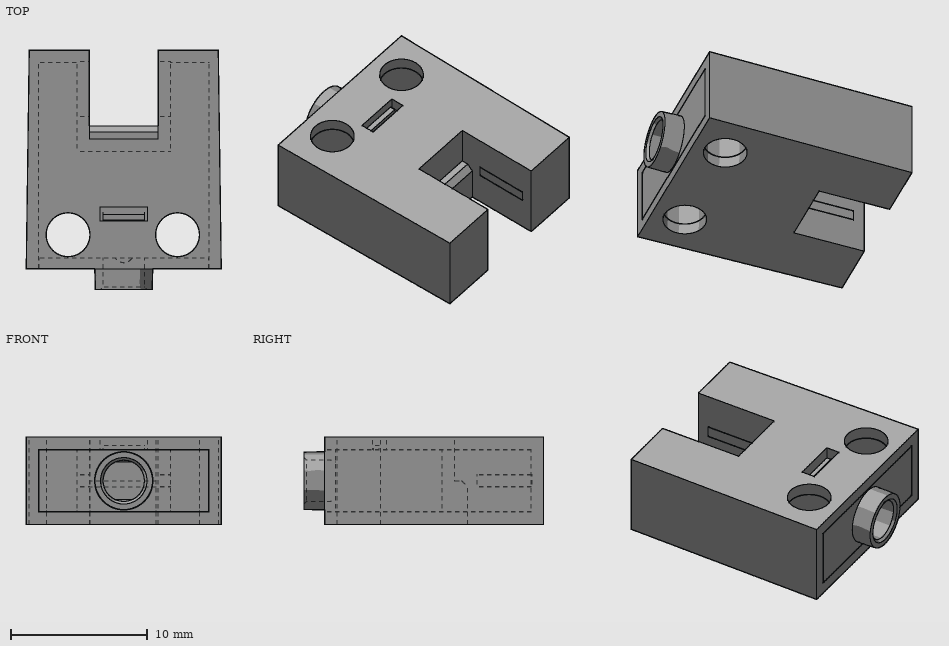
import cadquery as cq

FRONT_WIDTH = 14.26
BACK_WIDTH = 13.82
LENGTH = 16.0
HEIGHT = 6.4
SLOT_WIDTH = 5.0
SLOT_END_Y = 9.5

STEP_DEPTH = 0.95
STEP_TOP_Z = 0.0
STEP_BEVEL = 0.44

WALL = 0.93
CAVITY_WIDTH = 12.46
CAVITY_HEIGHT = HEIGHT - 2 * WALL
CAVITY_END_Y = LENGTH - WALL

SIDE_GAP = 0.05
THICKNESS_GAP = 0.04
INSERT_HEIGHT = CAVITY_HEIGHT - 2 * THICKNESS_GAP

SLIT_HEIGHT = 0.9
SLIT_LENGTH = 4.0
SLIT_END_Y = LENGTH - 0.84

HOLE_DIAMETER = 3.18
HOLE_SPACING = 8.0
HOLE_Y = 2.5
HOLE_OFFSET_X = -0.07

WINDOW_WIDTH = 3.45
WINDOW_LENGTH = 1.03
WINDOW_FRONT_Y = 3.5
BAR_WIDTH = 3.03
BAR_LENGTH = 0.4
BAR_HEIGHT = 0.35
BAR_FRONT_Y = 3.57
RAMP_LENGTH = 0.14
RAMP_HEIGHT = 0.01

COVER_THICKNESS = 0.8
SPOUT_LENGTH = 1.5
SPOUT_BASE_RADIUS = 2.14
SPOUT_TIP_RADIUS = 2.1
BORE_RADIUS = 1.5
BORE_CHAMFER = 0.2
FLAT_HALF_HEIGHT = 1.36
FLAT_LENGTH = 0.35


def block(width, y_start, y_end, z_bottom, z_top):
    """Rectangular block given by its width and its y and z limits."""
    return (
        cq.Workplane("XY")
        .box(width, y_end - y_start, z_top - z_bottom, centered=(True, False, False))
        .translate((0, y_start, z_bottom))
    )


def mounting_holes():
    """Two cylinders through the full thickness."""
    return (
        cq.Workplane("XY", origin=(HOLE_OFFSET_X, HOLE_Y, -HEIGHT / 2))
        .pushPoints([(-HOLE_SPACING / 2, 0), (HOLE_SPACING / 2, 0)])
        .circle(HOLE_DIAMETER / 2)
        .extrude(HEIGHT)
    )


def slits(height):
    """Bar of the given height across the fork, from one arm cavity to the other."""
    span = SLOT_WIDTH + 2 * WALL
    return block(span, SLIT_END_Y - SLIT_LENGTH, SLIT_END_Y, -height / 2, height / 2)


def fork_slot():
    """Open slot between the fork arms, through the full thickness."""
    return block(SLOT_WIDTH, SLOT_END_Y, LENGTH, -HEIGHT / 2, HEIGHT / 2)


def fork_block(height):
    """Fork-shaped block that follows the inside of the housing walls."""
    slot_with_walls = block(
        SLOT_WIDTH + 2 * WALL, SLOT_END_Y - WALL, LENGTH, -HEIGHT / 2, HEIGHT / 2
    )
    full = block(CAVITY_WIDTH, 0, CAVITY_END_Y, -height / 2, height / 2)
    return full.cut(slot_with_walls)


def slot_step():
    """Bevelled step along the closed end of the slot."""
    step_y = SLOT_END_Y + STEP_DEPTH
    return (
        cq.Workplane("YZ", origin=(-SLOT_WIDTH / 2, 0, 0))
        .polyline([
            (SLOT_END_Y, -HEIGHT / 2),
            (step_y, -HEIGHT / 2),
            (step_y, STEP_TOP_Z - STEP_BEVEL),
            (step_y - STEP_BEVEL, STEP_TOP_Z),
            (SLOT_END_Y, STEP_TOP_Z),
        ])
        .close()
        .extrude(SLOT_WIDTH)
    )


def make_housing():
    """Hollow forked block with its step, slits, holes and window."""
    body = (
        cq.Workplane("XY", origin=(0, 0, -HEIGHT / 2))
        .polyline([
            (-FRONT_WIDTH / 2, 0),
            (FRONT_WIDTH / 2, 0),
            (BACK_WIDTH / 2, LENGTH),
            (-BACK_WIDTH / 2, LENGTH),
        ])
        .close()
        .extrude(HEIGHT)
    )
    window = block(
        WINDOW_WIDTH, WINDOW_FRONT_Y, WINDOW_FRONT_Y + WINDOW_LENGTH,
        CAVITY_HEIGHT / 2, HEIGHT / 2,
    )
    body = body.cut(fork_slot()).union(slot_step())
    body = body.cut(fork_block(CAVITY_HEIGHT)).cut(slits(SLIT_HEIGHT))
    return body.cut(mounting_holes()).cut(window).solids().val()


def make_core():
    """Fork-shaped insert in the cavity, flush in the slits, with the light bar on top."""
    behind_cover = block(FRONT_WIDTH, COVER_THICKNESS, LENGTH, -HEIGHT / 2, HEIGHT / 2)
    floor_z = INSERT_HEIGHT / 2
    bar_top_z = floor_z + BAR_HEIGHT
    bar_back_y = BAR_FRONT_Y + BAR_LENGTH
    bar = (
        cq.Workplane("YZ", origin=(-BAR_WIDTH / 2, 0, 0))
        .moveTo(BAR_FRONT_Y, floor_z)
        .lineTo(BAR_FRONT_Y, bar_top_z)
        .lineTo(bar_back_y, bar_top_z)
        .lineTo(bar_back_y, floor_z + RAMP_HEIGHT)
        .lineTo(bar_back_y + RAMP_LENGTH, floor_z)
        .close()
        .extrude(BAR_WIDTH)
    )
    tongues = slits(SLIT_HEIGHT - 2 * THICKNESS_GAP).cut(fork_slot())
    core = fork_block(INSERT_HEIGHT).intersect(behind_cover).union(tongues)
    return core.cut(mounting_holes()).union(bar).solids().val()


def spout_bore():
    """Chamfered round bore whose inner end narrows between two sloping flats."""
    depth = SPOUT_LENGTH + COVER_THICKNESS
    mouth_y = -SPOUT_LENGTH
    mouth_radius = BORE_RADIUS + BORE_CHAMFER
    round_bore = (
        cq.Workplane("XY")
        .polyline([
            (0, mouth_y),
            (mouth_radius, mouth_y),
            (BORE_RADIUS, mouth_y + BORE_CHAMFER),
            (BORE_RADIUS, mouth_y + depth),
            (0, mouth_y + depth),
        ])
        .close()
        .revolve(360, (0, 0, 0), (0, 1, 0))
    )
    flats_start_y = COVER_THICKNESS - FLAT_LENGTH
    upper_flat = (
        cq.Workplane("YZ", origin=(-BORE_RADIUS, 0, 0))
        .polyline([
            (flats_start_y, BORE_RADIUS),
            (COVER_THICKNESS, BORE_RADIUS),
            (COVER_THICKNESS, FLAT_HALF_HEIGHT),
        ])
        .close()
        .extrude(2 * BORE_RADIUS)
    )
    return round_bore.cut(upper_flat).cut(upper_flat.mirror("XY"))


def make_cover():
    """Plate closing the cavity, with the tapered cable spout on its front."""
    plate = block(
        CAVITY_WIDTH - 2 * SIDE_GAP, 0, COVER_THICKNESS,
        -INSERT_HEIGHT / 2, INSERT_HEIGHT / 2,
    )
    spout = (
        cq.Workplane("YZ")
        .polyline([
            (0, 0),
            (0, SPOUT_BASE_RADIUS),
            (-SPOUT_LENGTH, SPOUT_TIP_RADIUS),
            (-SPOUT_LENGTH, 0),
        ])
        .close()
        .revolve(360, (0, 0, 0), (1, 0, 0))
    )
    return plate.union(spout).cut(spout_bore()).solids().val()


housing = make_housing()
core = make_core()
cover = make_cover()

result = cq.Compound.makeCompound([housing, core, cover])